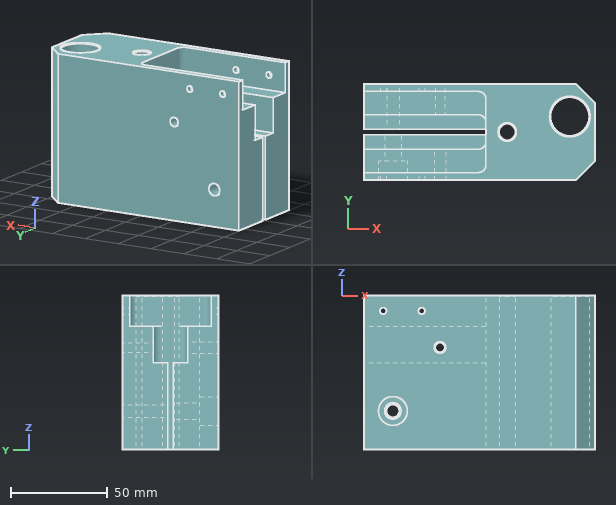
import cadquery as cq

length = 120.0
width = 50.0
height = 80.0
corner_chamfer = 10.0

opening_length = 63.4
wall = 4.0
pocket_width = width - 2 * wall
pocket_depth = 16.1
slot_width = 17.9
slot_depth = 35.0
slit_width = 2.8
inner_radius = 4.0

vertical_holes = [(74.4, 0.0, 8.5), (106.9, 8.0, 20.0)]
mouth_chamfer = 0.54

pin_diameter = 3.2
pin_xs = (10.0, 30.0)
pin_z = height - 8.0
locating_x = 39.5
locating_z = height - 27.0
locating_diameter = 6.0
locating_far_diameter = 4.9
bolt_x = 15.0
bolt_z = 20.0
bolt_clearance_diameter = 8.5
bolt_tap_diameter = 6.6
counterbore_diameter = 15.0
counterbore_depth = 10.0


def opening(opening_width, depth, radius=0):
    """Cutter open at X = 0 and at the top, with optional rounded inner corners."""
    cutter = cq.Workplane("XY").workplane(offset=height - depth)
    cutter = cutter.rect(2 * opening_length, opening_width).extrude(depth)
    if radius:
        cutter = cutter.edges("|Z and >X").fillet(radius)
    return cutter


def vertical_hole(x, y, diameter):
    """Through hole along Z, chamfered at the top face."""
    mouth_radius = diameter / 2 + mouth_chamfer
    bore = cq.Workplane("XY").center(x, y).circle(diameter / 2).extrude(height)
    mouth = cq.Solid.makeCone(
        mouth_radius, diameter / 2, mouth_chamfer, cq.Vector(x, y, height), cq.Vector(0, 0, -1)
    )
    return bore.union(cq.Workplane(mouth))


def cross_hole(x, z, diameter, depth=width):
    """Hole along +Y, starting at the -Y face."""
    return cq.Workplane("XZ", origin=(x, -width / 2, z)).circle(diameter / 2).extrude(-depth)


body = cq.Workplane("XY").box(length, width, height, centered=(False, True, False))
body = body.edges("|Z and >X").chamfer(corner_chamfer)

body = body.cut(opening(pocket_width, pocket_depth, inner_radius))
body = body.cut(opening(slot_width, slot_depth, inner_radius))
body = body.cut(opening(slit_width, height))

for hole_x, hole_y, hole_diameter in vertical_holes:
    body = body.cut(vertical_hole(hole_x, hole_y, hole_diameter))

for pin_x in pin_xs:
    body = body.cut(cross_hole(pin_x, pin_z, pin_diameter))

body = body.cut(cross_hole(locating_x, locating_z, locating_far_diameter))
body = body.cut(cross_hole(locating_x, locating_z, locating_diameter, width / 2))

body = body.cut(cross_hole(bolt_x, bolt_z, bolt_tap_diameter))
body = body.cut(cross_hole(bolt_x, bolt_z, bolt_clearance_diameter, width / 2))
body = body.cut(cross_hole(bolt_x, bolt_z, counterbore_diameter, counterbore_depth))

result = body